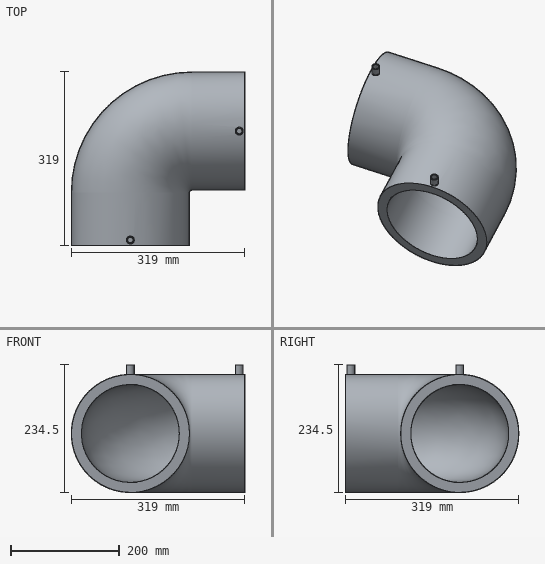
import cadquery as cq

overall_length = 319.0
outer_diameter = 217.2
bore_diameter = 180.0
leg_length = 97.3
outer_radius = outer_diameter / 2
bend_radius = overall_length - leg_length - outer_radius

overall_height = 234.5
pin_diameter = 14.5
pin_bore_diameter = 10.2
pin_end_distance = 10.2
pin_top = overall_height - outer_radius
pin_root = (outer_radius + bore_diameter / 2) / 2


def elbow(diameter):
    """Solid 90 degree elbow around the bend centre at the origin, with a straight leg at each end."""
    radius = diameter / 2
    front_leg = cq.Workplane("XZ").center(-bend_radius, 0).circle(radius).extrude(leg_length)
    side_leg = cq.Workplane("YZ").center(bend_radius, 0).circle(radius).extrude(leg_length)
    bend = (
        cq.Workplane("XZ")
        .center(-bend_radius, 0)
        .circle(radius)
        .revolve(90, (bend_radius, 0), (bend_radius, -1))
    )
    return front_leg.union(bend).union(side_leg)


def pins(diameter, bottom):
    """Vertical cylinders near both open ends, from the given height to the pin tops."""
    end_offset = leg_length - pin_end_distance
    return (
        cq.Workplane("XY", origin=(0, 0, bottom))
        .pushPoints([(-bend_radius, -end_offset), (end_offset, bend_radius)])
        .circle(diameter / 2)
        .extrude(pin_top - bottom)
    )


pin_bores = pins(pin_bore_diameter, pin_root).cut(elbow(outer_diameter))
hollow_pins = pins(pin_diameter, pin_root).cut(pin_bores)

result = elbow(outer_diameter).union(hollow_pins).cut(elbow(bore_diameter))